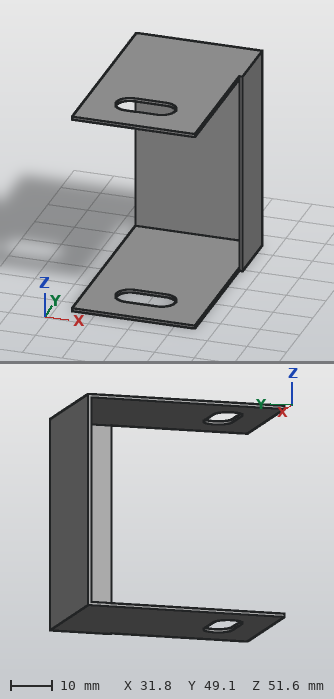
import cadquery as cq

width = 31.8
depth = 49.1
height = 51.6
sheet = 0.8

tab_depth = 15.2

slot_length = 15.0
slot_width = 7.0
slot_from_left = 15.0
slot_from_front = 10.9

flange_width = width - sheet
left = -width / 2
front = -depth / 2
back = depth / 2


def box_from_corner(size, corner):
    return cq.Workplane("XY").box(*size, centered=False).translate(corner)


def make_flange(bottom_z):
    return box_from_corner((flange_width, depth, sheet), (left, front, bottom_z))


back_wall = box_from_corner((width, sheet, height), (left, back - sheet, -height / 2))
side_tab = box_from_corner(
    (sheet, tab_depth, height),
    (width / 2 - sheet, back - tab_depth, -height / 2),
)
bracket = back_wall.union(side_tab)
for flange_bottom in (-height / 2, height / 2 - sheet):
    bracket = bracket.union(make_flange(flange_bottom))

slot_cutter = (
    cq.Workplane("XY")
    .center(left + slot_from_left, front + slot_from_front)
    .slot2D(slot_length, slot_width)
    .extrude(height / 2, both=True)
)

result = bracket.cut(slot_cutter)